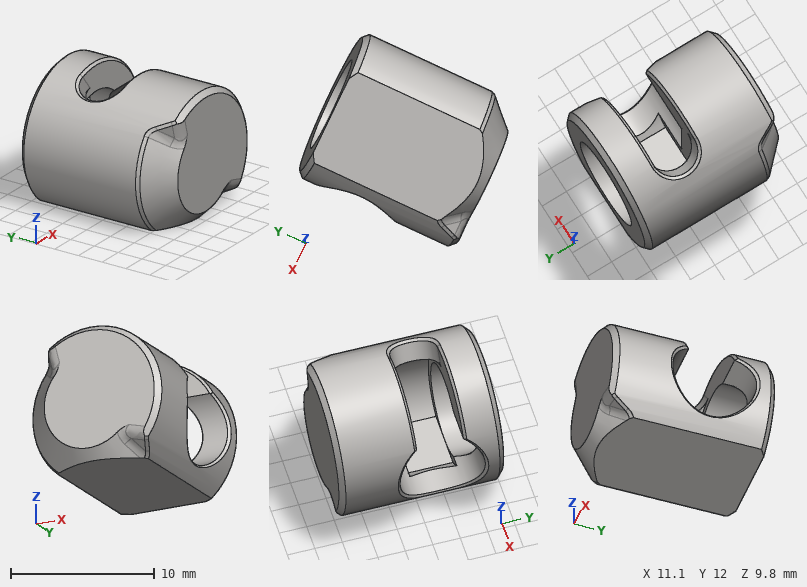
import cadquery as cq
import math

width = 11.1
radius = width / 2
length = 12.0
overall_height = 9.8
flat_z = radius - overall_height
rim_chamfer = 0.4

bevel_face_radius = 3.53
bevel_wall_angle = 60.0
land_angle = 120.0
land_apex = 2.3
land_direction = 45.0
bevel_reach = 3.0
wall_round = 1.0
bevel_edge_break = 0.17

bore_diameter = 6.2
cross_y = 7.5
chamber_radius = 4.0
chamber_floor_z = -3.4
rear_bore_radius = -chamber_floor_z
slot_width = 3.41
slot_tilt = 37.5
slot_depth_past_axis = 0.96
slot_chamfer = 0.19

tolerance = 0.01
big = 3 * length


def round_bar(bar_radius, start_y, end_y):
    """Cylinder about the Y axis."""
    return cq.Workplane("XZ", origin=(0, start_y, 0)).circle(bar_radius).extrude(start_y - end_y)


def land_wedge():
    """Wedge that keeps part of the rim; its sloping walls spread with depth."""
    half_angle = math.radians(land_angle / 2)
    deep_shift = bevel_reach / math.tan(math.radians(bevel_wall_angle)) / math.sin(half_angle)

    def sector(y, apex):
        arm_x = apex + big * math.cos(half_angle)
        arm_z = big * math.sin(half_angle)
        corners = [(apex, y, 0), (arm_x, y, arm_z), (arm_x, y, -arm_z)]
        return cq.Wire.makePolygon([cq.Vector(*corner) for corner in corners], close=True)

    wedge = cq.Solid.makeLoft([sector(0, -land_apex), sector(bevel_reach, -land_apex - deep_shift)], True)
    return cq.Workplane(obj=wedge).rotate((0, 0, 0), (0, 1, 0), -land_direction)


def bevel_cutter():
    """Everything outside the 45 degree cone, except for the land."""
    outside_cone = (
        cq.Workplane("XY")
        .moveTo(bevel_face_radius, 0)
        .lineTo(bevel_face_radius + bevel_reach, 0)
        .lineTo(bevel_face_radius + bevel_reach, bevel_reach)
        .close()
        .revolve(360, (0, 0, 0), (0, 1, 0))
    )
    return outside_cone.cut(land_wedge())


def slot_cutter():
    """Round-ended slot, its end on the axis plane, leaning towards -X."""
    half_width = slot_width / 2
    return (
        cq.Workplane("XY")
        .workplane(offset=-slot_depth_past_axis)
        .moveTo(big, cross_y - half_width)
        .lineTo(half_width, cross_y - half_width)
        .threePointArc((0, cross_y), (half_width, cross_y + half_width))
        .lineTo(big, cross_y + half_width)
        .close()
        .extrude(big)
        .rotate((0, 0, 0), (0, 1, 0), -slot_tilt)
    )


body = round_bar(radius, 0, length).cut(bevel_cutter())
body = cq.Workplane(obj=body.val())


def off_rim(edge):
    """True for edges whose middle lies inside the bar's outer surface."""
    middle = edge.positionAt(0.5)
    return math.hypot(middle.x, middle.z) < radius - bevel_edge_break


wall_edges = body.faces("<Y").edges("%LINE").vals()
body = body.newObject(wall_edges).fillet(wall_round)

root_edges = [
    e
    for e in body.edges().vals()
    if e.Center().y < length / 2 and max(e.startPoint().y, e.endPoint().y) > wall_round and off_rim(e)
]
body = body.newObject(root_edges).fillet(wall_round)

body = body.intersect(round_bar(radius, 0, length).faces("<Y or >Y").chamfer(rim_chamfer))

bevel_edges = [
    e
    for e in body.edges().vals()
    if rim_chamfer + tolerance < e.Center().y < length / 2 and e.geomType() != "LINE" and not off_rim(e)
]
body = body.newObject(bevel_edges).chamfer(bevel_edge_break)

below_flat = cq.Workplane("XY").box(big, big, big, centered=(True, True, False)).translate((0, 0, flat_z - big))
body = body.cut(below_flat)

chamber = round_bar(chamber_radius, cross_y - slot_width / 2, cross_y + slot_width / 2)
chamber_floor = below_flat.translate((0, 0, chamber_floor_z - flat_z))
body = body.cut(chamber.cut(chamber_floor))

body = body.cut(round_bar(rear_bore_radius, cross_y, length))

body = body.cut(slot_cutter())
cross_bore = cq.Workplane("YZ", origin=(0, cross_y, 0)).circle(bore_diameter / 2).extrude(big)
body = body.cut(cross_bore)

mouth_edges = [
    e
    for e in body.edges().vals()
    if abs(e.positionAt(0.5).y - cross_y) < bore_diameter / 2 and e.geomType() != "LINE" and not off_rim(e)
]
body = body.newObject(mouth_edges).chamfer(slot_chamfer)

result = body